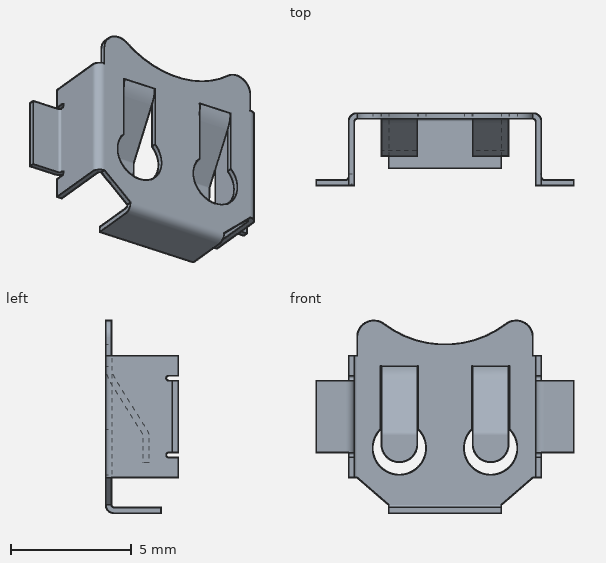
import cadquery as cq
import math


THICKNESS = 0.25
BEND_INNER = 0.11
BEND_OUTER = BEND_INNER + THICKNESS
ROOT_ARM = BEND_OUTER + 0.11

TAB_TIP_X = 5.35
DEPTH = 3.02
HEIGHT = 8.0

LEG_OUTER_X = 4.0
LEG_INNER_X = LEG_OUTER_X - THICKNESS
LEG_HEIGHT = 5.06
LEG_CENTER_Z = 4.01
LEG_BOTTOM_Z = LEG_CENTER_Z - LEG_HEIGHT / 2
TAB_HEIGHT = 3.0
RELIEF_HEIGHT = 0.19
RELIEF_DEPTH = 0.5

PLATE_HALF_WIDTH = LEG_OUTER_X - BEND_OUTER
EAR_RADIUS = 0.7
DIP_Z = 7.01

FLANGE_WIDTH = 4.69
FLANGE_DEPTH = 2.3

FINGER_X = 1.89
FINGER_WIDTH = 1.5
FINGER_TOP_Z = 6.11
FINGER_BOTTOM_Z = 2.12
FINGER_FRONT_Y = -1.79
FINGER_ANGLE = math.radians(32)
FINGER_ROOT_RADIUS = 1.05
SLOT_WIDTH = 1.56
HOLE_RADIUS = 1.1
HOLE_Z = 2.71


def elbow(plane, corner, arm_u, arm_v, length):
    """Bent strip: two arms leave the outer corner along the plane axes, with signed lengths."""
    sign_u = math.copysign(1, arm_u)
    sign_v = math.copysign(1, arm_v)
    diagonal = BEND_OUTER - BEND_OUTER * math.sqrt(0.5)
    inner_diagonal = BEND_OUTER - BEND_INNER * math.sqrt(0.5)

    def at(u, v):
        return (corner[0] + sign_u * u, corner[1] + sign_v * v)

    return (
        cq.Workplane(plane)
        .moveTo(*at(abs(arm_u), 0))
        .lineTo(*at(BEND_OUTER, 0))
        .threePointArc(at(diagonal, diagonal), at(0, BEND_OUTER))
        .lineTo(*at(0, abs(arm_v)))
        .lineTo(*at(THICKNESS, abs(arm_v)))
        .lineTo(*at(THICKNESS, BEND_OUTER))
        .threePointArc(at(inner_diagonal, inner_diagonal), at(BEND_OUTER, THICKNESS))
        .lineTo(*at(abs(arm_u), THICKNESS))
        .close()
        .extrude(length / 2, both=True)
    )


def make_plate():
    """Flat back with two round ears joined by a tangent dip, and sloped lower corners."""
    ear_x = PLATE_HALF_WIDTH - EAR_RADIUS
    ear_z = HEIGHT - EAR_RADIUS
    ear_above_dip = ear_z - DIP_Z
    dip_radius = (ear_x**2 + ear_above_dip**2 - EAR_RADIUS**2) / (2 * (EAR_RADIUS + ear_above_dip))
    ear_share = EAR_RADIUS / (EAR_RADIUS + dip_radius)
    joint_x = ear_x * (1 - ear_share)
    joint_z = ear_z + ear_share * (DIP_Z + dip_radius - ear_z)
    return (
        cq.Workplane("XZ")
        .moveTo(-FLANGE_WIDTH / 2, BEND_OUTER)
        .lineTo(FLANGE_WIDTH / 2, BEND_OUTER)
        .lineTo(PLATE_HALF_WIDTH, LEG_BOTTOM_Z)
        .lineTo(PLATE_HALF_WIDTH, ear_z)
        .threePointArc((ear_x, HEIGHT), (joint_x, joint_z))
        .threePointArc((0, DIP_Z), (-joint_x, joint_z))
        .threePointArc((-ear_x, HEIGHT), (-PLATE_HALF_WIDTH, ear_z))
        .lineTo(-PLATE_HALF_WIDTH, LEG_BOTTOM_Z)
        .close()
        .extrude(THICKNESS)
    )


def make_finger_opening(x):
    """Keyhole through the plate: a slot for the finger running down into a round hole."""
    slot_height = FINGER_TOP_Z - HOLE_Z
    slot = (
        cq.Workplane("XZ")
        .center(x, HOLE_Z + slot_height / 2)
        .rect(SLOT_WIDTH, slot_height)
        .extrude(THICKNESS)
    )
    hole = cq.Workplane("XZ").center(x, HOLE_Z).circle(HOLE_RADIUS).extrude(THICKNESS)
    return slot.union(hole)


def make_relief(z):
    """Round-ended slit through the leg, open at its front edge."""
    radius = RELIEF_HEIGHT / 2
    round_y = RELIEF_DEPTH - radius - DEPTH
    return (
        cq.Workplane("YZ", origin=(LEG_INNER_X, 0, z))
        .moveTo(-DEPTH, -radius)
        .lineTo(round_y, -radius)
        .threePointArc((round_y + radius, 0), (round_y, radius))
        .lineTo(-DEPTH, radius)
        .close()
        .extrude(THICKNESS)
    )


def make_leg():
    """Right-hand leg bent forward from the plate, with its middle bent outward as a tab."""
    leg_plane = cq.Plane(origin=(0, 0, LEG_CENTER_Z))
    leg = elbow(leg_plane, (LEG_OUTER_X, 0), -ROOT_ARM, -DEPTH, LEG_HEIGHT)
    tab_window = cq.Workplane("XY").box(
        THICKNESS, BEND_OUTER, TAB_HEIGHT, centered=(False, False, True)
    ).translate((LEG_INNER_X, -DEPTH, LEG_CENTER_Z))
    leg = leg.cut(tab_window)
    relief_offset = (TAB_HEIGHT + RELIEF_HEIGHT) / 2
    for side in (-1, 1):
        leg = leg.cut(make_relief(LEG_CENTER_Z + side * relief_offset))
    tab = elbow(leg_plane, (LEG_INNER_X, -DEPTH), TAB_TIP_X - LEG_INNER_X, ROOT_ARM, TAB_HEIGHT)
    return leg.union(tab)


def make_clip():
    flange = elbow("YZ", (0, 0), -FLANGE_DEPTH, ROOT_ARM, FLANGE_WIDTH)
    leg = make_leg()
    clip = make_plate().union(flange).union(leg).union(leg.mirror("YZ"))
    for side in (-1, 1):
        clip = clip.cut(make_finger_opening(side * FINGER_X))
    return clip


def make_finger(x):
    """Spring finger: curves forward from the slot top, slopes down, then ends in a vertical pad."""
    def arc_point(center, radius, angle):
        return (center[0] + radius * math.cos(angle), center[1] + radius * math.sin(angle))

    half_angle = FINGER_ANGLE / 2
    root_center = (-THICKNESS - FINGER_ROOT_RADIUS, FINGER_TOP_Z)
    root_back_radius = FINGER_ROOT_RADIUS + THICKNESS
    root_end = arc_point(root_center, FINGER_ROOT_RADIUS, -FINGER_ANGLE)
    pad_center_y = FINGER_FRONT_Y + BEND_OUTER
    slope_front_y = pad_center_y - BEND_OUTER * math.cos(FINGER_ANGLE)
    slope_drop = (root_end[0] - slope_front_y) / math.tan(FINGER_ANGLE)
    pad_center = (pad_center_y, root_end[1] - slope_drop - BEND_OUTER * math.sin(FINGER_ANGLE))
    slope_at_pad = math.pi - FINGER_ANGLE
    middle_at_pad = math.pi - half_angle
    strip = (
        cq.Workplane("YZ")
        .moveTo(-THICKNESS, FINGER_TOP_Z)
        .threePointArc(arc_point(root_center, FINGER_ROOT_RADIUS, -half_angle), root_end)
        .lineTo(*arc_point(pad_center, BEND_OUTER, slope_at_pad))
        .threePointArc(
            arc_point(pad_center, BEND_OUTER, middle_at_pad),
            (FINGER_FRONT_Y, pad_center[1]),
        )
        .lineTo(FINGER_FRONT_Y, FINGER_BOTTOM_Z)
        .lineTo(FINGER_FRONT_Y + THICKNESS, FINGER_BOTTOM_Z)
        .lineTo(FINGER_FRONT_Y + THICKNESS, pad_center[1])
        .threePointArc(
            arc_point(pad_center, BEND_INNER, middle_at_pad),
            arc_point(pad_center, BEND_INNER, slope_at_pad),
        )
        .lineTo(*arc_point(root_center, root_back_radius, -FINGER_ANGLE))
        .threePointArc(arc_point(root_center, root_back_radius, -half_angle), (0, FINGER_TOP_Z))
        .close()
        .extrude(FINGER_WIDTH / 2, both=True)
    )
    tip_radius = FINGER_WIDTH / 2
    tip_z = FINGER_BOTTOM_Z + tip_radius
    face_outline = (
        cq.Workplane("XZ")
        .moveTo(-tip_radius, FINGER_TOP_Z)
        .lineTo(-tip_radius, tip_z)
        .threePointArc((0, FINGER_BOTTOM_Z), (tip_radius, tip_z))
        .lineTo(tip_radius, FINGER_TOP_Z)
        .close()
        .extrude(DEPTH)
    )
    return strip.intersect(face_outline).translate((x, 0, 0))


clip = make_clip()
fingers = [make_finger(side * FINGER_X) for side in (-1, 1)]

result = cq.Compound.makeCompound([clip.val(), *[finger.val() for finger in fingers]])